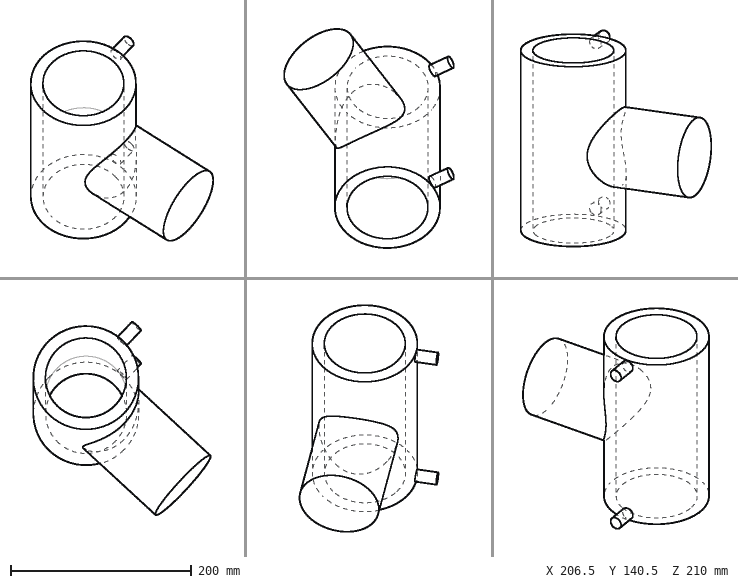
import cadquery as cq

overall_length = 206.5
overall_width = 140.5

tube_height = 210.0
tube_outer_diameter = 117.0
bore_diameter = 89.9

branch_diameter = bore_diameter
branch_reach = overall_length - tube_outer_diameter / 2

pin_diameter = 14.0
pin_reach = overall_width - tube_outer_diameter / 2
pin_end_distance = 8.0


def make_upright_cylinder(diameter):
    return cq.Workplane("XY").circle(diameter / 2).extrude(tube_height / 2, both=True)


def make_branch():
    return cq.Workplane("YZ").circle(branch_diameter / 2).extrude(branch_reach)


def make_pin(height):
    return cq.Workplane("XZ").center(0, height).circle(pin_diameter / 2).extrude(-pin_reach)


result = make_upright_cylinder(tube_outer_diameter).union(make_branch())
for side in (-1, 1):
    result = result.union(make_pin(side * (tube_height / 2 - pin_end_distance)))

result = result.cut(make_upright_cylinder(bore_diameter))